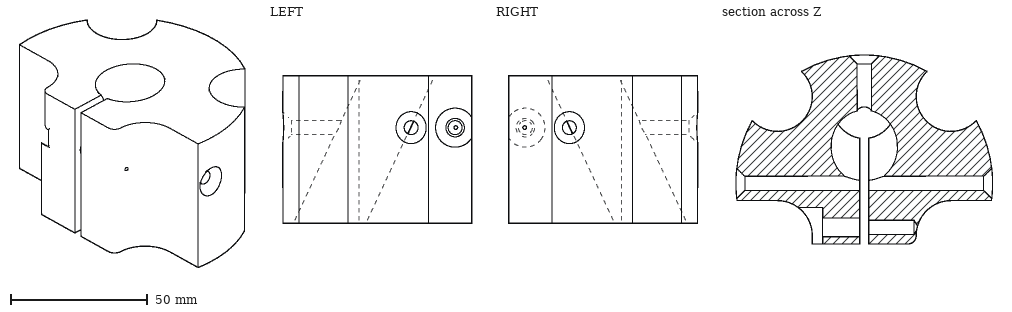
import math

import cadquery as cq

INCH = 25.4

height = 54.1
body_radius = 47.0
scallop_radius = 0.5 * INCH
scallop_offset = 1.25 * INCH
shoulder_y = -0.25 * INCH
neck_end_y = -0.875 * INCH
neck_corner_radius = 0.125 * INCH
neck_half_width = scallop_offset - scallop_radius
neck_fillet_y = shoulder_y - scallop_radius

bore_diameter = 24.13
bore_tilt = 25.0
bore_top_y = 4.55
slot_width = 0.125 * INCH
bore_mid_y = bore_top_y + height / 2 * math.tan(math.radians(bore_tilt))

hole_z = height - 0.75 * INCH

radial_diameter = 5.08
back_hole_depth = 1.0 * INCH
side_hole_wall = 0.2
countersink_diameter = 11.7
countersink_angle = 90.0

screw_y = -16.1
screw_head_diameter = 0.5625 * INCH
screw_head_floor_x = -15.2
screw_clearance_diameter = 6.76
screw_tap_diameter = 5.11
drill_point_angle = 118.0
drill_tip_x = 19.75

overshoot = 1.0


def cylinder(start, direction, length, diameter):
    return cq.Workplane(cq.Solid.makeCylinder(diameter / 2, length, cq.Vector(*start), cq.Vector(*direction)))


def cone(start, direction, length, start_radius, end_radius):
    return cq.Workplane(
        cq.Solid.makeCone(start_radius, end_radius, length, cq.Vector(*start), cq.Vector(*direction))
    )


def block(x_min, x_max, y_min, y_max, z_min, z_max):
    size = (x_max - x_min, y_max - y_min, z_max - z_min)
    return cq.Workplane().box(*size, centered=False).translate((x_min, y_min, z_min))


def make_body():
    disc = cq.Workplane().circle(body_radius).extrude(height)
    body = disc.intersect(block(-body_radius, body_radius, neck_end_y, body_radius, 0, height))
    for side in (-1, 1):
        outer_x = side * (body_radius + overshoot)
        neck_relief = (
            cq.Workplane()
            .moveTo(outer_x, shoulder_y)
            .lineTo(side * scallop_offset, shoulder_y)
            .radiusArc((side * neck_half_width, neck_fillet_y), -side * scallop_radius)
            .lineTo(side * neck_half_width, neck_end_y - overshoot)
            .lineTo(outer_x, neck_end_y - overshoot)
            .close()
            .extrude(height)
        )
        scallop = cylinder((side * scallop_offset, scallop_offset, 0), (0, 0, 1), height, 2 * scallop_radius)
        body = body.cut(neck_relief).cut(scallop)
    return body


def neck_corner_cutter(side, z_min):
    """Material outside the rounded neck corner, from z_min up to the top."""
    center_x = side * (neck_half_width - neck_corner_radius)
    center_y = neck_end_y + neck_corner_radius
    edge_x = side * neck_half_width
    corner = block(min(center_x, edge_x), max(center_x, edge_x), neck_end_y, center_y, z_min, height)
    return corner.cut(cylinder((center_x, center_y, z_min), (0, 0, 1), height - z_min, 2 * neck_corner_radius))


def bore_and_slot(offset=0.0):
    """Bore and slot as one cutter, with its walls moved outward by the offset."""
    tilt = math.radians(bore_tilt)
    axis = cq.Vector(0, math.sin(tilt), -math.cos(tilt))
    half_length = height
    start = cq.Vector(0, bore_mid_y, height / 2) - axis * half_length
    bore = cylinder(start.toTuple(), axis.toTuple(), 2 * half_length, bore_diameter + 2 * offset)
    slot_half_width = slot_width / 2 + offset
    slot = block(-slot_half_width, slot_half_width, neck_end_y - overshoot, bore_mid_y, 0, height)
    return bore.union(slot)


def radial_hole(direction, depth):
    """Countersunk hole drilled from the round wall straight toward the body axis."""
    start = (-direction[0] * body_radius, -direction[1] * body_radius, hole_z)
    rim_radius = countersink_diameter / 2
    hole_radius = radial_diameter / 2
    sink_depth = (rim_radius - hole_radius) / math.tan(math.radians(countersink_angle / 2))
    hole = cylinder(start, direction, depth, radial_diameter)
    return hole.union(cone(start, direction, sink_depth, rim_radius, hole_radius))


def clamp_screw_hole():
    """Head recess on -X, clearance to the slot, then a tap drill whose point just breaks out on +X."""
    point_slope = math.tan(math.radians(drill_point_angle / 2))
    tap_radius = screw_tap_diameter / 2
    point_length = tap_radius / point_slope
    drill_end_x = drill_tip_x - point_length
    along_x = (1, 0, 0)
    head_length = body_radius + screw_head_floor_x
    head = cylinder((-body_radius, screw_y, hole_z), along_x, head_length, screw_head_diameter)
    clearance = cylinder(
        (screw_head_floor_x, screw_y, hole_z), along_x, -screw_head_floor_x, screw_clearance_diameter
    )
    tap = cylinder((0, screw_y, hole_z), along_x, drill_end_x, screw_tap_diameter)
    point = cone((drill_end_x, screw_y, hole_z), along_x, point_length, tap_radius, 0)
    return [head, clearance, tap, point]


result = make_body()

result = result.cut(neck_corner_cutter(1, 0)).cut(neck_corner_cutter(-1, hole_z))

result = result.cut(bore_and_slot())

result = result.cut(radial_hole((0, -1, 0), back_hole_depth))
side_hole_limit = bore_and_slot(side_hole_wall)
for inward in (1, -1):
    result = result.cut(radial_hole((inward, 0, 0), body_radius).cut(side_hole_limit))

for cutter in clamp_screw_hole():
    result = result.cut(cutter)